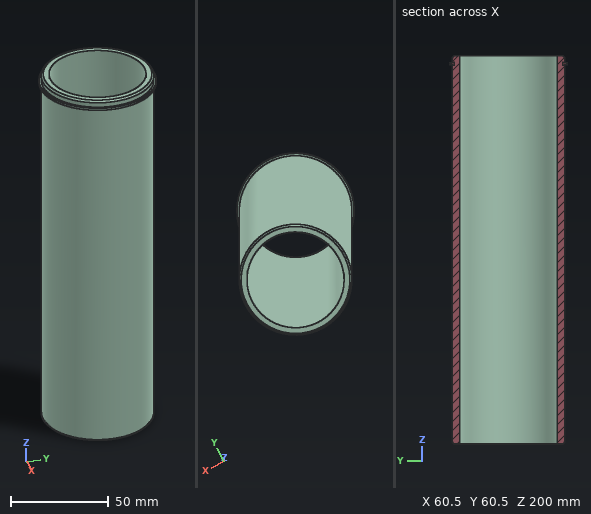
import cadquery as cq

tube_length = 200.0
tube_diameter = 58.0
bore_diameter = 50.0
end_chamfer = 1.0

ring_outer_diameter = 60.5
ring_thickness = 1.2
ring_top_setback = 3.5
groove_depth = 1.0

ring_inner_diameter = tube_diameter - 2 * groove_depth
ring_bottom = tube_length / 2 - ring_top_setback - ring_thickness


def annulus(outer_diameter, inner_diameter, height, bottom):
    """Flat-ended hollow cylinder around the Z axis, starting at height bottom."""
    return (
        cq.Workplane("XY")
        .workplane(offset=bottom)
        .circle(outer_diameter / 2)
        .circle(inner_diameter / 2)
        .extrude(height)
    )


def make_tube():
    """Tube with both outer rims chamfered and a groove that fits the ring."""
    blank = cq.Workplane("XY").cylinder(tube_length, tube_diameter / 2)
    chamfered = blank.faces("<Z or >Z").edges().chamfer(end_chamfer)
    bored = chamfered.faces(">Z").workplane().hole(bore_diameter)
    groove = annulus(ring_outer_diameter, ring_inner_diameter, ring_thickness, ring_bottom)
    return bored.cut(groove)


def make_retaining_ring():
    """Plain flat ring that fills the groove and stands proud of the tube."""
    return annulus(ring_outer_diameter, ring_inner_diameter, ring_thickness, ring_bottom)


tube = make_tube()
retaining_ring = make_retaining_ring()

result = cq.Compound.makeCompound([tube.val(), retaining_ring.val()])